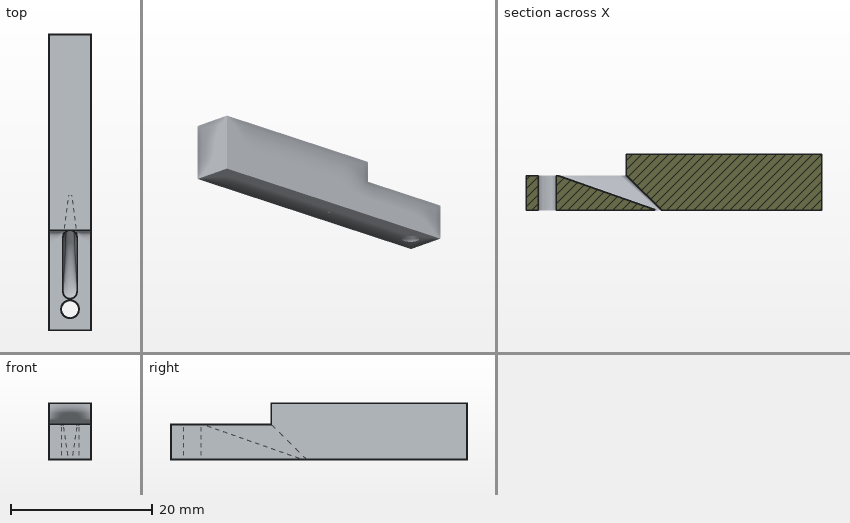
import cadquery as cq

width = 6.0
length = 42.0
height = 8.0
tongue_length = 14.2
tongue_height = 5.0

front_y = -length / 2
back_y = length / 2
step_y = front_y + tongue_length

hole_diameter = 2.5
hole_y = front_y + 3.0

mouth_width = 2.0
mouth_front_y = front_y + 4.5
mouth_length = step_y - mouth_front_y
mouth_y = mouth_front_y + mouth_length / 2
outlet_diameter = 0.5
outlet_straight = 0.01
outlet_y = front_y + 19.0

along_y = 90


def make_bar():
    side_profile = [
        (front_y, 0),
        (back_y, 0),
        (back_y, height),
        (step_y, height),
        (step_y, tongue_height),
        (front_y, tongue_height),
    ]
    return cq.Workplane("YZ").polyline(side_profile).close().extrude(width / 2, both=True)


def make_hole():
    return cq.Workplane("XY").center(0, hole_y).circle(hole_diameter / 2).extrude(tongue_height)


def make_passage():
    return (
        cq.Workplane("XY")
        .center(0, outlet_y)
        .slot2D(outlet_diameter + outlet_straight, outlet_diameter, along_y)
        .workplane(offset=tongue_height)
        .center(0, mouth_y - outlet_y)
        .slot2D(mouth_length, mouth_width, along_y)
        .loft(ruled=True)
    )


result = make_bar().cut(make_hole()).cut(make_passage())